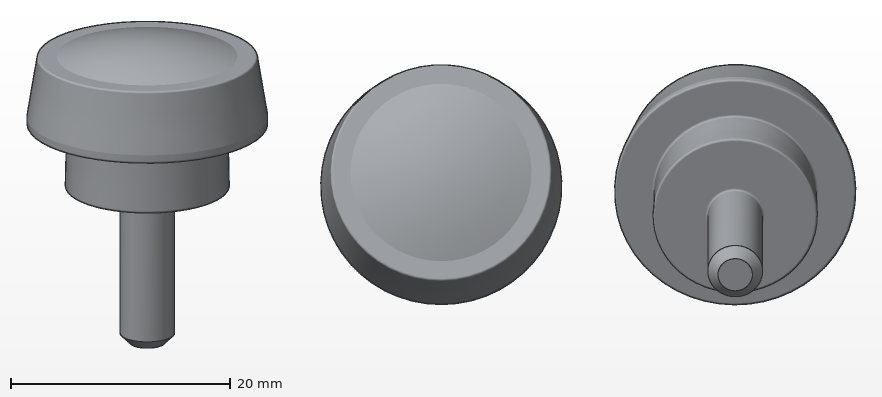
import cadquery as cq
import math


stud_radius = 5.0 / 2
stud_length = 15.0
tip_chamfer = 0.93

hub_base_radius = 15.0 / 2
hub_top_radius = 7.4
hub_height = 6.0

cap_radius = 22.0 / 2
cap_top_radius = 10.05
rim_height = 0.8
cap_height = 6.6
cap_top_z = hub_height + cap_height

overall_height = 29.0
dome_radius = 8.25
dome_top_z = overall_height - stud_length
dome_height = dome_top_z - cap_top_z
dome_sphere_radius = (dome_radius**2 + dome_height**2) / (2 * dome_height)

edge_fillet = 0.2


def dome_point(angle):
    """Point (radius, height) on the dome arc at an angle from the axis."""
    sphere_center_z = dome_top_z - dome_sphere_radius
    radius = dome_sphere_radius * math.sin(angle)
    height = sphere_center_z + dome_sphere_radius * math.cos(angle)
    return radius, height


def revolved_body():
    """Solid of revolution of the stud, hub, cap and dome."""
    dome_half_angle = math.asin(dome_radius / dome_sphere_radius)
    profile = (
        cq.Workplane("XZ")
        .moveTo(0, -stud_length)
        .lineTo(stud_radius - tip_chamfer, -stud_length)
        .lineTo(stud_radius, -stud_length + tip_chamfer)
        .lineTo(stud_radius, 0)
        .lineTo(hub_base_radius, 0)
        .lineTo(hub_top_radius, hub_height)
        .lineTo(cap_radius, hub_height)
        .lineTo(cap_radius, hub_height + rim_height)
        .lineTo(cap_top_radius, cap_top_z)
        .lineTo(dome_radius, cap_top_z)
        .threePointArc(dome_point(dome_half_angle / 2), (0, dome_top_z))
        .close()
    )
    return profile.revolve(360, (0, 0, 0), (0, 1, 0))


def circle_edge(body, radius, height):
    """The circular edge of the body with the given radius and height."""
    tolerance = 1e-4
    for edge in body.edges("%CIRCLE").vals():
        same_radius = abs(edge.radius() - radius) < tolerance
        same_height = abs(edge.Center().z - height) < tolerance
        if same_radius and same_height:
            return edge
    raise ValueError("no circular edge at this radius and height")


def fillet_rims(body):
    """Round the stud root, hub rim, hub root and both cap rims."""
    rims = [
        (stud_radius, 0),
        (hub_base_radius, 0),
        (hub_top_radius, hub_height),
        (cap_radius, hub_height),
        (cap_top_radius, cap_top_z),
    ]
    edges = [circle_edge(body, radius, height) for radius, height in rims]
    return body.newObject(edges).fillet(edge_fillet)


result = fillet_rims(revolved_body())